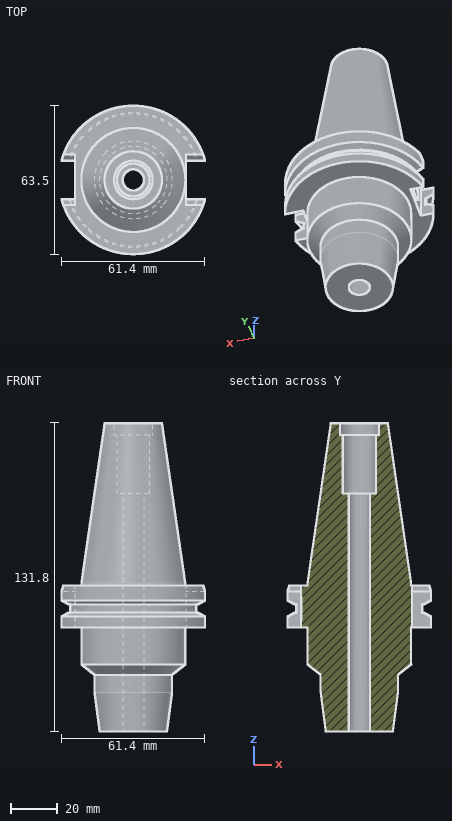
import cadquery as cq
import math

projection = 63.5
gauge_radius = 44.45 / 2
taper_length = 68.25
taper_ratio = 7 / 24
tip_radius = gauge_radius - taper_length * taper_ratio / 2
tip_z = projection + taper_length

flange_radius = 63.5 / 2
gauge_to_flange_top = 1.0
gauge_to_flange_bottom = 19.05
flange_top_z = projection - gauge_to_flange_top
flange_bottom_z = projection - gauge_to_flange_bottom
groove_radius = 28.2
groove_center_z = 52.6
groove_floor_width = 3.5
groove_lip_radius = 28.8
groove_side_angle = 30
groove_side_height = (flange_radius - groove_lip_radius) * math.tan(math.radians(groove_side_angle))

body_radius = gauge_radius
body_bottom_z = 28.7
neck_radius = 16.6
neck_top_z = 24.3
nose_cone_top_z = 16.7
nose_radius = 14.4

through_radius = 9.0 / 2
entry_radius = 16.5 / 2
entry_depth = 5.0
socket_radius = 14.0 / 2
socket_depth = 30.0

slot_width = 16.38
slot_floor_minus_x = 25.0
slot_floor_plus_x = 22.6
slot_chamfer = 2.6

recess_diameter = 9.6
recess_depth = 0.3
recess_z = groove_center_z


def revolved_holder():
    """Taper, flange, groove, body and nose turned about Z."""
    groove_floor_top = groove_center_z + groove_floor_width / 2
    groove_floor_bottom = groove_center_z - groove_floor_width / 2
    profile = [
        (0, 0),
        (nose_radius, 0),
        (neck_radius, nose_cone_top_z),
        (neck_radius, neck_top_z),
        (body_radius, body_bottom_z),
        (body_radius, flange_bottom_z),
        (flange_radius, flange_bottom_z),
        (flange_radius, groove_floor_bottom - groove_side_height),
        (groove_lip_radius, groove_floor_bottom),
        (groove_radius, groove_floor_bottom),
        (groove_radius, groove_floor_top),
        (groove_lip_radius, groove_floor_top),
        (flange_radius, groove_floor_top + groove_side_height),
        (flange_radius, flange_top_z),
        (gauge_radius, flange_top_z),
        (gauge_radius, projection),
        (tip_radius, tip_z),
        (0, tip_z),
    ]
    return cq.Workplane("XZ").polyline(profile).close().revolve(360, (0, 0, 0), (0, 1, 0))


def axial_bore():
    """Through hole with two wider steps at the tip."""
    bore = cq.Workplane("XY").circle(through_radius).extrude(tip_z)
    for radius, depth in ((socket_radius, socket_depth), (entry_radius, entry_depth)):
        step = cq.Workplane("XY").workplane(offset=tip_z - depth).circle(radius).extrude(depth)
        bore = bore.union(step)
    return bore


def drive_slot(side, floor_x):
    """Slot through the flange height, opening outwards, with chamfered upper edges."""
    half_width = slot_width / 2
    wide_half = half_width + slot_chamfer
    section = [
        (-half_width, flange_bottom_z),
        (half_width, flange_bottom_z),
        (half_width, flange_top_z - slot_chamfer),
        (wide_half, flange_top_z),
        (-wide_half, flange_top_z),
        (-half_width, flange_top_z - slot_chamfer),
    ]
    slot = cq.Workplane("YZ").polyline(section).close().extrude(side * (flange_radius - floor_x))
    return slot.translate((side * floor_x, 0, 0))


def floor_recess():
    """Shallow round recess in the -X slot floor."""
    recess = cq.Workplane("YZ").center(0, recess_z).circle(recess_diameter / 2).extrude(recess_depth)
    return recess.translate((-slot_floor_minus_x, 0, 0))


result = revolved_holder().cut(axial_bore())
for side, floor_x in ((-1, slot_floor_minus_x), (1, slot_floor_plus_x)):
    result = result.cut(drive_slot(side, floor_x))
result = result.cut(floor_recess())